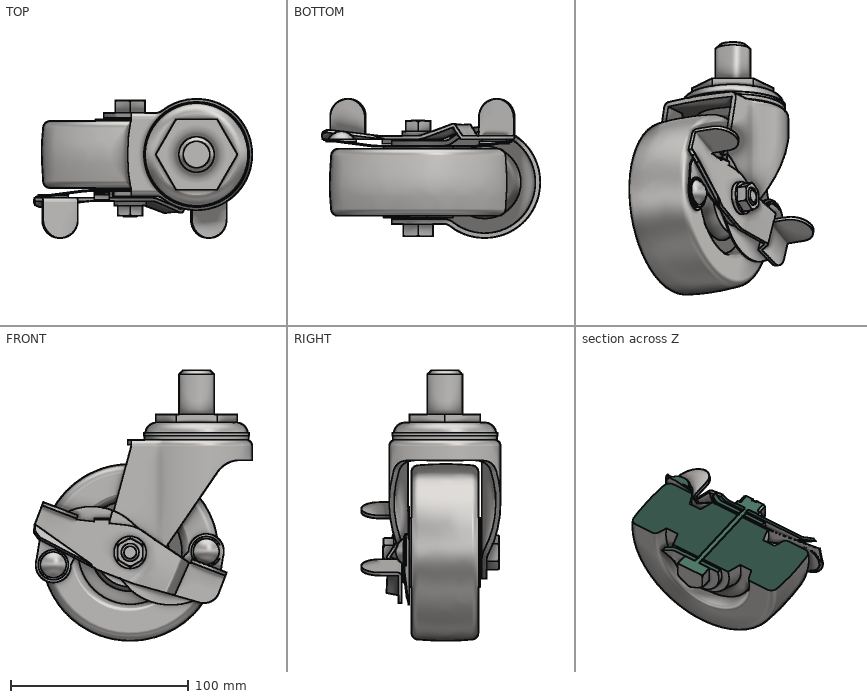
import cadquery as cq
import math


SPAN = 200.0

AXLE_X = -37.5
AXLE_R = 5.0
WHEEL_R = 50.0
TREAD_EDGE_R = 49.3
TREAD_HALF_WIDTH = 15.3
WHEEL_HALF_WIDTH = 19.0
SHOULDER_ROUND = 4.2
SIDE_FACE_R = 45.0
RECESS_RIM_R = 33.5
RECESS_RIM_ROUND = 3.0
RECESS_WALL_R = 31.3
RECESS_WALL_Y = 17.0
RECESS_FLOOR_R = 29.3
RECESS_FLOOR_Y = 11.7
HUB_ROOT_R = 22.0
HUB_FACE_R = 19.5
HUB_HALF_WIDTH = 20.0

SHEET = 2.8
LEG_INNER_Y = 20.75
LEG_OUTER_Y = LEG_INNER_Y + SHEET
LEG_END_R = 15.0
HEAD_R = 31.5
HEAD_TOP_Z = 63.6
HEAD_EDGE_R = 3.5
SKIRT_BOTTOM_Z = 52.0
SKIRT_BLEND_R = 5.5
FRONT_EDGE_LEAN = 15.0
REAR_EDGE_ANGLE = 55.5
REAR_ARCH_R = 15.0
HEAD_FRONT_BOW = 2.0
RACE_RING_R = 29.5
RACE_RING_TOP_Z = 66.0
CUP_R = 20.5
CUP_BOTTOM_Z = 53.0
CUP_STRAIGHT_Z = 57.5
CUP_FLOOR_R = 15.0

STEM_R = 10.0
STEM_TOP_Z = 103.0
STEM_CHAMFER = 2.5
HEX_TOP_Z = 78.0
HEX_FLATS = 40.0
CAP_TOP_Z = 73.4
CAP_FLAT_R = 22.9
CAP_R = 29.0
CAP_SHOULDER_R = 6.6
CAP_RIM_R = 29.75
CAP_RIM_TOP_Z = 67.5
KING_PIN_END_Z = 51.7

HEAD_FLATS = 17.0
HEAD_HEIGHT = 7.0
NUT_FLATS = 14.2
NUT_FLANGE_R = 9.1
NUT_FLANGE_Y = -28.8
NUT_END_Y = -34.7
BOLT_TIP_Y = -35.1
BOLT_TIP_CHAMFER = 1.5
HEX_CORNER_CHAMFER = 0.6

PLATE_T = 0.75
WRAP_OUTER_Y = -(LEG_OUTER_Y + PLATE_T)
PLATE_LEFT_BEND_X = (-64.0, -60.2)
PLATE_LEFT_ANGLE = 7.5
PLATE_RIGHT_BEND_X = (-5.0, -2.0)
PLATE_RIGHT_ANGLE = 8.5
PLATE_REACH = 35.0
WRAP_BOTTOM_Z = 7.0
WRAP_TOP_Z = 30.0
WRAP_REACH = 15.0
DOME_CENTERS = ((-80.9, -7.0), (5.5, 0.5))
DOME_R = 7.3
DOME_COLLAR_R = 8.5
DOME_COLLAR_HEIGHT = 1.5
DOME_HEIGHT = 4.5
LOBE_R = 10.0

PEDAL_T = 2.0
PEDAL_BACK_Y = WRAP_OUTER_Y
PEDAL_FRONT_Y = PEDAL_BACK_Y - PEDAL_T
PEDAL_TILT = 21.0
PEDAL_LEFT_U = -56.0
PEDAL_RIGHT_U = 55.0
PEDAL_PEAK_V = 14.3
PEDAL_BELLY_V = -15.8
PEDAL_BELLY_LEFT_U = -14.0
PEDAL_END_V = -5.1
PEDAL_CORNER_R = 9.0
TAB_LENGTH = 21.0
TAB_TOP_V = 9.0
TAB_TIP_Y = -47.2
TAB_BEND_R = 2.6
CREASE_TILT = 24.0
RAMP_CENTER_U = -21.0
RAMP_START_R = 30.7
RAMP_BEND_R = 10.0
RAMP_ANGLE = 22.0
RAMP_CREST_U = 27.6
RAMP_CREST_ROUND = 1.5
RAMP_FOOT_U = 32.8
RAMP_DEPTH = 7.5
RAMP_WALL_WIDTH = 2.5
LIP_ANGLE = 38.0
LIP_WIDTH = 6.3
PEG_X = (-57.8, -49.4)
PEG_Z = (14.4, 19.3)
PEG_INNER_Y = -21.7
PEG_CHAMFER = 0.9


def side_plane(y=0.0, tilt=0.0):
    """Plane facing -Y at the given y, centred on the axle and turned by the tilt."""
    angle = math.radians(tilt)
    return cq.Plane(origin=(AXLE_X, y, 0), xDir=(math.cos(angle), 0, -math.sin(angle)), normal=(0, -1, 0))


def upright_plane(y=0.0):
    """Plane facing -Y at the given y, in absolute X and Z."""
    return cq.Plane(origin=(0, y, 0), xDir=(1, 0, 0), normal=(0, -1, 0))


def axle_rod(radius, y_near, y_far):
    """Round bar along the axle from y_near toward -Y, ending at y_far."""
    return cq.Workplane(side_plane(y_near)).circle(radius).extrude(y_near - y_far)


def make_stem():
    """Stud, hexagon, cap and king pin."""
    profile = (
        cq.Workplane("XZ")
        .moveTo(0, KING_PIN_END_Z)
        .lineTo(STEM_R, KING_PIN_END_Z)
        .lineTo(STEM_R, RACE_RING_TOP_Z)
        .lineTo(CAP_RIM_R, RACE_RING_TOP_Z)
        .lineTo(CAP_RIM_R, CAP_RIM_TOP_Z)
        .lineTo(CAP_R, CAP_RIM_TOP_Z)
        .radiusArc((CAP_FLAT_R, CAP_TOP_Z), -CAP_SHOULDER_R)
        .lineTo(0, CAP_TOP_Z)
        .close()
    )
    cap = profile.revolve(360, (0, 0), (0, 1))
    hexagon = cq.Workplane("XY", origin=(0, 0, CAP_TOP_Z)).polygon(6, 2 * HEX_FLATS / math.sqrt(3))
    stud = (
        cq.Workplane("XY", origin=(0, 0, CAP_TOP_Z))
        .circle(STEM_R)
        .extrude(STEM_TOP_Z - CAP_TOP_Z)
        .faces(">Z")
        .chamfer(STEM_CHAMFER)
    )
    return cap.union(hexagon.extrude(HEX_TOP_Z - CAP_TOP_Z)).union(stud)


LEAN = math.radians(FRONT_EDGE_LEAN)
REAR = math.radians(REAR_EDGE_ANGLE)
FRONT_TANGENT = (AXLE_X - LEG_END_R * math.cos(LEAN), LEG_END_R * math.sin(LEAN))
REAR_TANGENT = (AXLE_X + LEG_END_R * math.sin(REAR), -LEG_END_R * math.cos(REAR))


def front_edge_x(z):
    """X of the leg's straight front edge at height z."""
    return FRONT_TANGENT[0] + (z - FRONT_TANGENT[1]) * math.tan(LEAN)


def fork_plan(inset):
    """Plan solid of the fork: parallel legs that blend into the round head."""
    half_width = LEG_OUTER_Y - inset
    radius = HEAD_R - inset
    meet_x = -math.sqrt(radius**2 - half_width**2)
    far_x = AXLE_X - LEG_END_R - 5
    bottom = -LEG_END_R - 1
    solid = (
        cq.Workplane("XY", origin=(0, 0, bottom))
        .moveTo(far_x, -half_width)
        .lineTo(meet_x, -half_width)
        .threePointArc((radius, 0), (meet_x, half_width))
        .lineTo(far_x, half_width)
        .close()
        .extrude(HEAD_TOP_Z - bottom - inset)
    )
    corners = cq.selectors.BoxSelector((meet_x - 1, -HEAD_R, bottom), (meet_x + 1, HEAD_R, HEAD_TOP_Z))
    return solid.edges("|Z").edges(corners).fillet(SKIRT_BLEND_R + inset)


def fork_side_outline():
    """Side outline of the fork extruded across its whole width."""
    corner_x = REAR_TANGENT[0] + (SKIRT_BOTTOM_Z - REAR_TANGENT[1]) / math.tan(REAR)
    setback = REAR_ARCH_R * math.tan(REAR / 2)
    arch_start = (corner_x - setback * math.cos(REAR), SKIRT_BOTTOM_Z - setback * math.sin(REAR))
    far_x = HEAD_R + 1
    fold_z = HEAD_TOP_Z - HEAD_EDGE_R
    return (
        cq.Workplane(upright_plane(HEAD_R + 1))
        .moveTo(*FRONT_TANGENT)
        .lineTo(front_edge_x(fold_z), fold_z)
        .lineTo(front_edge_x(fold_z), HEAD_TOP_Z)
        .lineTo(far_x, HEAD_TOP_Z)
        .lineTo(far_x, SKIRT_BOTTOM_Z)
        .lineTo(corner_x + setback, SKIRT_BOTTOM_Z)
        .radiusArc(arch_start, -REAR_ARCH_R)
        .lineTo(*REAR_TANGENT)
        .threePointArc((AXLE_X, -LEG_END_R), FRONT_TANGENT)
        .close()
        .extrude(2 * (HEAD_R + 1))
    )


def make_fork():
    """Pressed sheet fork with its race ring and lower bearing cup."""
    outer = fork_plan(0).faces(">Z").edges(">X or <Y or >Y").fillet(HEAD_EDGE_R)
    sheet = outer.cut(fork_plan(SHEET)).intersect(fork_side_outline())
    edge_x = front_edge_x(HEAD_TOP_Z - HEAD_EDGE_R)
    bow = (
        cq.Workplane("XY", origin=(0, 0, HEAD_TOP_Z - SHEET))
        .moveTo(edge_x, -LEG_INNER_Y)
        .threePointArc((edge_x - HEAD_FRONT_BOW, 0), (edge_x, LEG_INNER_Y))
        .close()
        .extrude(SHEET)
    )
    ring_root = (
        cq.Workplane("XY", origin=(0, 0, HEAD_TOP_Z - SHEET))
        .circle(RACE_RING_R - SHEET)
        .extrude(SHEET)
    )
    ring = (
        cq.Workplane("XY", origin=(0, 0, HEAD_TOP_Z))
        .circle(RACE_RING_R)
        .extrude(RACE_RING_TOP_Z - HEAD_TOP_Z)
        .union(ring_root)
    )
    cup = (
        cq.Workplane("XZ")
        .moveTo(0, HEAD_TOP_Z)
        .lineTo(CUP_R, HEAD_TOP_Z)
        .lineTo(CUP_R, CUP_STRAIGHT_Z)
        .radiusArc((CUP_FLOOR_R, CUP_BOTTOM_Z), CUP_R - CUP_FLOOR_R)
        .lineTo(0, CUP_BOTTOM_Z)
        .close()
        .revolve(360, (0, 0), (0, 1))
    )
    king_pin_hole = cq.Workplane("XY", origin=(0, 0, KING_PIN_END_Z)).circle(STEM_R).extrude(SPAN)
    axle_hole = axle_rod(AXLE_R, HEAD_R, -HEAD_R)
    return sheet.union(bow).union(ring).union(cup).cut(king_pin_hole).cut(axle_hole)


def make_wheel():
    """Wheel with a crowned tread, recessed sides and a raised hub."""
    profile = (
        cq.Workplane("XY")
        .moveTo(AXLE_R, HUB_HALF_WIDTH)
        .lineTo(HUB_FACE_R, HUB_HALF_WIDTH)
        .lineTo(HUB_ROOT_R, RECESS_FLOOR_Y)
        .lineTo(RECESS_FLOOR_R, RECESS_FLOOR_Y)
        .lineTo(RECESS_WALL_R, RECESS_WALL_Y)
        .radiusArc((RECESS_RIM_R, WHEEL_HALF_WIDTH), RECESS_RIM_ROUND)
        .lineTo(SIDE_FACE_R, WHEEL_HALF_WIDTH)
        .radiusArc((TREAD_EDGE_R, TREAD_HALF_WIDTH), SHOULDER_ROUND)
        .threePointArc((WHEEL_R, 0), (TREAD_EDGE_R, -TREAD_HALF_WIDTH))
        .radiusArc((SIDE_FACE_R, -WHEEL_HALF_WIDTH), SHOULDER_ROUND)
        .lineTo(RECESS_RIM_R, -WHEEL_HALF_WIDTH)
        .radiusArc((RECESS_WALL_R, -RECESS_WALL_Y), RECESS_RIM_ROUND)
        .lineTo(RECESS_FLOOR_R, -RECESS_FLOOR_Y)
        .lineTo(HUB_ROOT_R, -RECESS_FLOOR_Y)
        .lineTo(HUB_FACE_R, -HUB_HALF_WIDTH)
        .lineTo(AXLE_R, -HUB_HALF_WIDTH)
        .close()
    )
    return profile.revolve(360, (0, 0), (0, 1)).translate((AXLE_X, 0, 0))


def hex_prism(flats, y_near, y_far, chamfered_face):
    """Hexagon along the axle with a corner up and its outer corners chamfered."""
    corner_r = flats / math.sqrt(3)
    prism = (
        cq.Workplane(side_plane(y_near))
        .transformed(rotate=(0, 0, 30))
        .polygon(6, 2 * corner_r)
        .extrude(y_near - y_far)
    )
    envelope = axle_rod(corner_r, y_near, y_far).faces(chamfered_face).chamfer(HEX_CORNER_CHAMFER)
    return prism.intersect(envelope)


def make_axle_bolt():
    """Axle bolt with its hexagon head and flanged nut."""
    shank = axle_rod(AXLE_R, LEG_OUTER_Y, BOLT_TIP_Y).faces("<Y").chamfer(BOLT_TIP_CHAMFER)
    head = hex_prism(HEAD_FLATS, LEG_OUTER_Y + HEAD_HEIGHT, LEG_OUTER_Y, ">Y")
    flange = axle_rod(NUT_FLANGE_R, PEDAL_FRONT_Y, NUT_FLANGE_Y)
    nut = hex_prism(NUT_FLATS, NUT_FLANGE_Y, NUT_END_Y, "<Y")
    nut = nut.union(flange).cut(axle_rod(AXLE_R, PEDAL_BACK_Y, 2 * NUT_END_Y))
    return shank.union(head).union(nut)


def brake_plate_outline():
    """S-shaped outline of the brake plate with a round lobe at each end, as a deep prism."""
    front_y = -LEG_INNER_Y + 5
    left_lobe, right_lobe = DOME_CENTERS
    body = (
        cq.Workplane(upright_plane(front_y))
        .moveTo(-33, 13.7)
        .lineTo(-37, 17.3)
        .threePointArc((-58, 25.9), (-78, 20))
        .lineTo(-88.5, 8)
        .lineTo(left_lobe[0] - LOBE_R, left_lobe[1])
        .lineTo(left_lobe[0] + LOBE_R, left_lobe[1])
        .lineTo(-68, -1)
        .lineTo(-48, -9)
        .lineTo(-37, -21.5)
        .threePointArc((-17, -29.6), (3, -25))
        .lineTo(13.5, -12)
        .lineTo(right_lobe[0] + LOBE_R, right_lobe[1])
        .lineTo(right_lobe[0] - LOBE_R, right_lobe[1])
        .lineTo(-8, -3)
        .close()
        .extrude(SPAN)
    )
    lobes = cq.Workplane(upright_plane(front_y)).pushPoints(DOME_CENTERS).circle(LOBE_R).extrude(SPAN)
    return body.union(lobes)


def plate_end_drop(x):
    """How far the bent ends of the brake plate stand toward -Y of its flat middle at x."""
    left = max(0, sum(PLATE_LEFT_BEND_X) / 2 - x)
    right = max(0, x - sum(PLATE_RIGHT_BEND_X) / 2)
    left_drop = left * math.tan(math.radians(PLATE_LEFT_ANGLE))
    return left_drop + right * math.tan(math.radians(PLATE_RIGHT_ANGLE))


def plate_section(flat_y):
    """Plan points of one face of the bent sheet, each bend being two steps."""
    left_far = PLATE_LEFT_BEND_X[0] - PLATE_REACH
    right_far = PLATE_RIGHT_BEND_X[1] + PLATE_REACH
    stations = (left_far, *PLATE_LEFT_BEND_X, *PLATE_RIGHT_BEND_X, right_far)
    return [(x, flat_y - plate_end_drop(x)) for x in stations]


def wrap_strip(right_low, right_high, y_near):
    """Strip that starts just ahead of the leg's front edge and reaches the given right-hand ends."""
    wrap_t = PLATE_T / math.cos(LEAN)
    corners = [
        (front_edge_x(WRAP_BOTTOM_Z) - wrap_t, WRAP_BOTTOM_Z),
        (right_low, WRAP_BOTTOM_Z),
        (right_high, WRAP_TOP_Z),
        (front_edge_x(WRAP_TOP_Z) - wrap_t, WRAP_TOP_Z),
    ]
    return cq.Workplane(upright_plane(y_near)).polyline(corners).close().extrude(y_near - WRAP_OUTER_Y)


def make_brake_plate():
    """Thin spring plate inside the leg, with bent ends, domes and a lip wrapped round the leg edge."""
    outline = brake_plate_outline()
    inner_y = -LEG_INNER_Y + PLATE_T
    bent_sheet = (
        cq.Workplane("XY", origin=(0, 0, -SPAN / 2))
        .polyline(plate_section(inner_y) + plate_section(inner_y - PLATE_T)[::-1])
        .close()
        .extrude(SPAN)
    )
    plate = bent_sheet.intersect(outline)
    edge_strip = wrap_strip(front_edge_x(WRAP_BOTTOM_Z), front_edge_x(WRAP_TOP_Z), inner_y)
    outer_lip = wrap_strip(AXLE_X + WRAP_REACH, AXLE_X + WRAP_REACH, -LEG_OUTER_Y)
    plate = plate.union(edge_strip.intersect(outline)).union(outer_lip.intersect(outline))

    sphere_r = (DOME_R**2 + DOME_HEIGHT**2) / (2 * DOME_HEIGHT)
    for x, z in DOME_CENTERS:
        base_y = inner_y - plate_end_drop(x) - PLATE_T / 2
        dome = (
            cq.Workplane("XY", origin=(x, base_y, z))
            .lineTo(DOME_COLLAR_R, 0)
            .lineTo(DOME_COLLAR_R, -DOME_COLLAR_HEIGHT)
            .lineTo(DOME_R, -DOME_COLLAR_HEIGHT)
            .radiusArc((0, -DOME_COLLAR_HEIGHT - DOME_HEIGHT), sphere_r)
            .close()
            .revolve(360, (0, 0), (0, 1))
        )
        plate = plate.union(dome)
    return plate.cut(axle_rod(AXLE_R, 0, -HEAD_R))


def pedal_outline():
    """Front outline of the pedal as a deep prism, in its own tilted frame."""
    tab_v = TAB_TOP_V - TAB_BEND_R
    return (
        cq.Workplane(side_plane(PEDAL_BACK_Y, PEDAL_TILT))
        .moveTo(PEDAL_LEFT_U, PEDAL_END_V)
        .lineTo(PEDAL_LEFT_U, tab_v)
        .lineTo(PEDAL_LEFT_U + TAB_LENGTH, tab_v)
        .lineTo(-8, 13.5)
        .threePointArc((-1, PEDAL_PEAK_V), (6.4, 12.7))
        .lineTo(PEDAL_RIGHT_U - TAB_LENGTH, tab_v)
        .lineTo(PEDAL_RIGHT_U, tab_v)
        .lineTo(PEDAL_RIGHT_U, -2.8)
        .radiusArc((PEDAL_RIGHT_U - PEDAL_CORNER_R, -12.4), PEDAL_CORNER_R)
        .lineTo(8, PEDAL_BELLY_V)
        .lineTo(PEDAL_BELLY_LEFT_U, PEDAL_BELLY_V)
        .close()
        .extrude(-PEDAL_BACK_Y)
    )


def ramp_cone(inset):
    """Solid behind the ramp's front face, moved back by the inset: a flat disc that flares into a cone."""
    flare = math.radians(RAMP_ANGLE)
    tilt = math.radians(CREASE_TILT)
    far_r = 2 * RAMP_START_R
    depth = PEDAL_T - inset
    bend_r = RAMP_BEND_R + inset
    bend_end_r = RAMP_START_R + bend_r * math.sin(flare)
    bend_end_depth = depth + bend_r * (1 - math.cos(flare))
    tip = bend_end_depth + math.tan(flare) * (far_r - bend_end_r)
    cone = (
        cq.Workplane("XY")
        .moveTo(0, inset)
        .lineTo(far_r, inset)
        .lineTo(far_r, -tip)
        .lineTo(bend_end_r, -bend_end_depth)
        .radiusArc((RAMP_START_R, -depth), -bend_r)
        .lineTo(0, -depth)
        .close()
        .revolve(360, (0, 0), (0, 1))
    )
    center = (AXLE_X + RAMP_CENTER_U * math.cos(tilt), PEDAL_BACK_Y, -RAMP_CENTER_U * math.sin(tilt))
    return cone.translate(center)


def ramp_side(inset):
    """Space between the ramp's centre line and the sloping wall that ends it, less the inset."""
    tilt = math.radians(CREASE_TILT)
    plane = cq.Plane(
        origin=(AXLE_X, PEDAL_FRONT_Y, 0),
        xDir=(math.cos(tilt), 0, -math.sin(tilt)),
        normal=(math.sin(tilt), 0, math.cos(tilt)),
    )
    slope = (RAMP_FOOT_U - RAMP_CREST_U) / RAMP_DEPTH
    back = 2 * PEDAL_T
    front = -3 * RAMP_DEPTH
    foot_u = RAMP_FOOT_U - inset
    return (
        cq.Workplane(plane)
        .polyline([
            (RAMP_CENTER_U, front),
            (foot_u + slope * front, front),
            (foot_u + slope * back, back),
            (RAMP_CENTER_U, back),
        ])
        .close()
        .extrude(SPAN, both=True)
    )


def pedal_tab(start_u):
    """Round-ended foot tab standing out from the pedal's upper edge."""
    tilt = math.radians(PEDAL_TILT)
    right = (math.cos(tilt), 0, -math.sin(tilt))
    up = (math.sin(tilt), 0, math.cos(tilt))
    end_r = TAB_LENGTH / 2
    inner_r = TAB_BEND_R - PEDAL_T
    bend_v = TAB_TOP_V - TAB_BEND_R
    bend_y = PEDAL_BACK_Y - TAB_BEND_R
    start = (AXLE_X + start_u * right[0], 0, start_u * right[2])
    bent_strip = (
        cq.Workplane(cq.Plane(origin=start, xDir=(0, -1, 0), normal=(-right[0], 0, -right[2])))
        .moveTo(-PEDAL_BACK_Y, bend_v)
        .radiusArc((-bend_y, TAB_TOP_V), TAB_BEND_R)
        .lineTo(-TAB_TIP_Y, TAB_TOP_V)
        .lineTo(-TAB_TIP_Y, TAB_TOP_V - PEDAL_T)
        .lineTo(-bend_y, TAB_TOP_V - PEDAL_T)
        .radiusArc((-PEDAL_FRONT_Y, bend_v), -inner_r)
        .close()
        .extrude(-TAB_LENGTH)
    )
    rounded_end = (
        cq.Workplane(cq.Plane(origin=start, xDir=right, normal=up))
        .moveTo(0, PEDAL_BACK_Y)
        .lineTo(0, TAB_TIP_Y + end_r)
        .threePointArc((end_r, TAB_TIP_Y), (TAB_LENGTH, TAB_TIP_Y + end_r))
        .lineTo(TAB_LENGTH, PEDAL_BACK_Y)
        .close()
        .extrude(2 * TAB_TOP_V)
    )
    return bent_strip.intersect(rounded_end)


def pedal_lip():
    """Tapered stiffening lip bent forward along the pedal's lower outer edge."""
    tilt = math.radians(PEDAL_TILT)
    bend = math.radians(LIP_ANGLE)
    along_u = PEDAL_BELLY_LEFT_U - PEDAL_LEFT_U
    along_v = PEDAL_BELLY_V - PEDAL_END_V
    length = math.hypot(along_u, along_v)
    edge_angle = tilt + math.atan2(-along_v, along_u)
    along = cq.Vector(math.cos(edge_angle), 0, -math.sin(edge_angle))
    outward = cq.Vector(-math.sin(edge_angle), 0, -math.cos(edge_angle))
    face_down = outward * math.cos(bend) + cq.Vector(0, -math.sin(bend), 0)
    origin = (
        AXLE_X + PEDAL_LEFT_U * math.cos(tilt) + PEDAL_END_V * math.sin(tilt),
        PEDAL_BACK_Y,
        -PEDAL_LEFT_U * math.sin(tilt) + PEDAL_END_V * math.cos(tilt),
    )
    plane = cq.Plane(origin=origin, xDir=along.toTuple(), normal=along.cross(face_down).toTuple())
    lip = cq.Workplane(plane).polyline([(0, 0), (length, 0), (LIP_WIDTH, LIP_WIDTH), (2, LIP_WIDTH * 0.7)])
    return lip.close().extrude(-PEDAL_T)


def make_pedal():
    """Rocking foot pedal: a flat plate with a raised ramp, two foot tabs, a lip and a stop peg."""
    outline = pedal_outline()
    slab = cq.Workplane(side_plane(PEDAL_BACK_Y)).rect(SPAN, SPAN).extrude(PEDAL_T)
    cavity = ramp_cone(PEDAL_T).intersect(ramp_side(RAMP_WALL_WIDTH))
    crest_tilt = math.radians(CREASE_TILT)
    crest = (
        AXLE_X + RAMP_CREST_U * math.cos(crest_tilt),
        PEDAL_FRONT_Y - RAMP_DEPTH,
        -RAMP_CREST_U * math.sin(crest_tilt),
    )
    raised = ramp_cone(0).intersect(ramp_side(0))
    raised = raised.edges(cq.selectors.NearestToPointSelector(crest)).fillet(RAMP_CREST_ROUND)
    ramp = raised.cut(cavity)
    flat_ends = slab.cut(ramp_side(RAMP_WALL_WIDTH))
    pedal = ramp.union(flat_ends).intersect(outline)
    for start_u in (PEDAL_LEFT_U, PEDAL_RIGHT_U - TAB_LENGTH):
        pedal = pedal.union(pedal_tab(start_u))
    peg = (
        cq.Workplane(upright_plane(PEG_INNER_Y))
        .moveTo(sum(PEG_X) / 2, sum(PEG_Z) / 2)
        .rect(PEG_X[1] - PEG_X[0], PEG_Z[1] - PEG_Z[0])
        .extrude(PEG_INNER_Y - PEDAL_FRONT_Y)
        .edges("|X and >Z")
        .chamfer(PEG_CHAMFER)
    )
    return pedal.union(pedal_lip()).union(peg).cut(axle_rod(AXLE_R, 0, -HEAD_R))


stem = make_stem()
fork = make_fork()
wheel = make_wheel()
axle_bolt = make_axle_bolt()
pedal = make_pedal()
brake_plate = make_brake_plate().cut(pedal)

result = cq.Compound.makeCompound([
    stem.val(),
    fork.val(),
    wheel.val(),
    axle_bolt.val(),
    brake_plate.val(),
    pedal.val(),
])